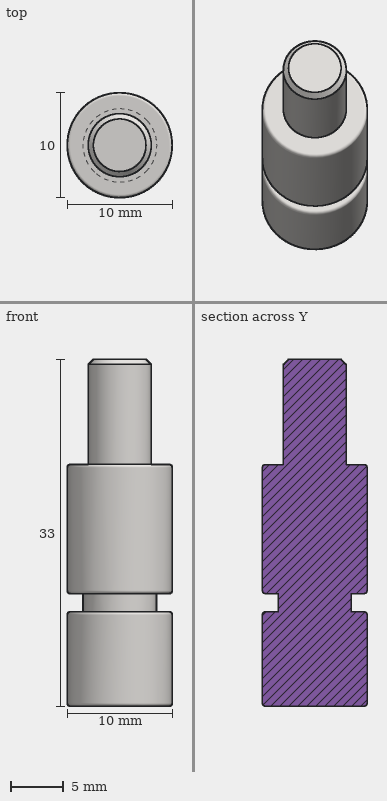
import cadquery as cq

body_diameter = 10.0
neck_diameter = 7.0
pin_diameter = 6.0
base_height = 9.0
neck_height = 1.7
upper_body_height = 12.3
pin_height = 10.0
body_edge_radius = 0.3
pin_tip_chamfer = 0.5

upper_body_bottom = base_height + neck_height
shoulder_level = upper_body_bottom + upper_body_height


def cylinder(diameter, bottom, height):
    """Cylinder on the Z axis, standing on the given level."""
    return cq.Workplane("XY").workplane(offset=bottom).circle(diameter / 2).extrude(height)


def body_section(bottom, height):
    """Full-diameter section with both rims rounded."""
    return cylinder(body_diameter, bottom, height).faces("<Z or >Z").edges().fillet(body_edge_radius)


base = body_section(0, base_height)
neck = cylinder(neck_diameter, base_height, neck_height)
upper_body = body_section(upper_body_bottom, upper_body_height)
pin = cylinder(pin_diameter, shoulder_level, pin_height).faces(">Z").edges().chamfer(pin_tip_chamfer)

result = base.union(neck).union(upper_body).union(pin)